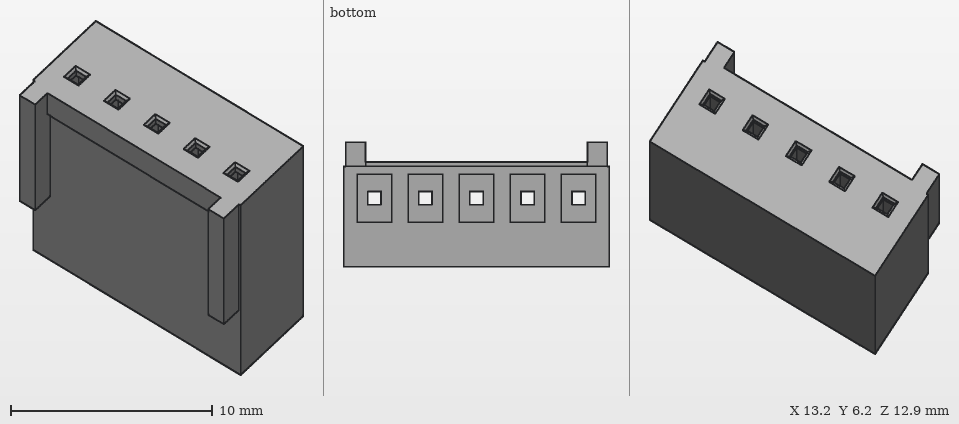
import cadquery as cq

width = 13.22
height = 12.85
overall_depth = 6.2
body_depth = 5.0

rail_projection = overall_depth - body_depth
rail_width = 0.99
rail_height = 8.0
rail_inset = 0.1

lip_projection = 0.22
lip_height = 1.6
lip_width = width - 2 * (rail_inset + rail_width)

pin_count = 5
pin_pitch = 2.54
pin_row_y = 1.59
hole_size = 0.65
entry_size = 0.93
entry_depth = (entry_size - hole_size) / 2

roof_thickness = 0.5
cavity_width = 1.72
cavity_depth = 2.38
cavity_height = height - roof_thickness


def front_bar(center_x, bar_width, bar_height, projection):
    """Block standing out from the front face, level with the top."""
    return (
        cq.Workplane("XY")
        .box(bar_width, projection, bar_height, centered=(True, False, False))
        .translate((center_x, -projection, height - bar_height))
    )


def pin_hole(center_x):
    """Square through hole with a flared top and a wider terminal cavity below."""
    bore = (
        cq.Workplane("XY")
        .center(center_x, pin_row_y)
        .rect(hole_size, hole_size)
        .extrude(height)
    )
    lead_in = (
        cq.Workplane("XY", origin=(center_x, pin_row_y, height - entry_depth))
        .rect(hole_size, hole_size)
        .workplane(offset=entry_depth)
        .rect(entry_size, entry_size)
        .loft(ruled=True)
    )
    cavity = (
        cq.Workplane("XY")
        .center(center_x, pin_row_y)
        .rect(cavity_width, cavity_depth)
        .extrude(cavity_height)
    )
    return bore.union(lead_in).union(cavity)


housing = cq.Workplane("XY").box(width, body_depth, height, centered=(True, False, False))

rail_x = width / 2 - rail_inset - rail_width / 2
for side in (-1, 1):
    housing = housing.union(front_bar(side * rail_x, rail_width, rail_height, rail_projection))

housing = housing.union(front_bar(0, lip_width, lip_height, lip_projection))

for index in range(pin_count):
    pin_x = (index - (pin_count - 1) / 2) * pin_pitch
    housing = housing.cut(pin_hole(pin_x))

result = housing